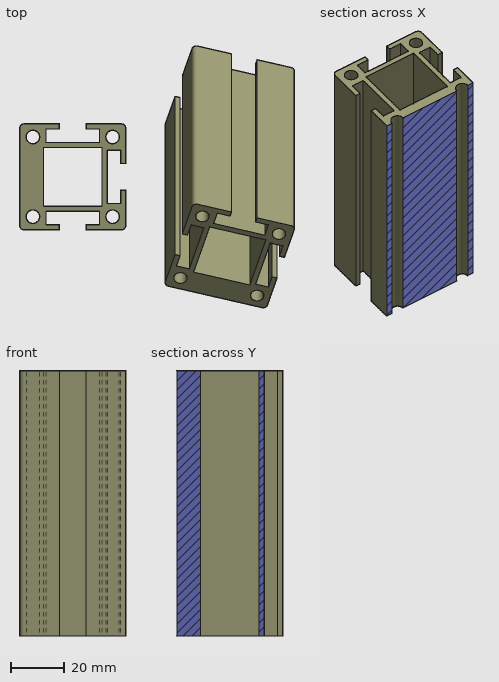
import cadquery as cq

side = 40.0
length = 100.0
corner_radius = 1.7

slot_mouth = 10.0
slot_width = 20.0
lip_thickness = 2.0
slot_depth = 7.0

web_thickness = 2.0
core_width = side - 2 * (slot_depth + web_thickness)
hole_diameter = 5.0
hole_spacing = 30.0

slot_angles = (-90, 0, 90)


def block(x_min, x_max, width):
    """Full-length block between two X positions, centred on Y."""
    return (
        cq.Workplane("XY")
        .center((x_min + x_max) / 2, 0)
        .rect(x_max - x_min, width)
        .extrude(length)
    )


def t_slot():
    """Cutter for the slot in the +X face: narrow mouth, wide chamber."""
    face = side / 2
    mouth = block(face - slot_depth, face, slot_mouth)
    chamber = block(face - slot_depth, face - lip_thickness, slot_width)
    return mouth.union(chamber)


body = cq.Workplane("XY").rect(side, side).extrude(length)
body = body.edges("|Z").fillet(corner_radius)

body = body.cut(block(-core_width / 2, core_width / 2, core_width))

for angle in slot_angles:
    body = body.cut(t_slot().rotate((0, 0, 0), (0, 0, 1), angle))

screw_holes = (
    cq.Workplane("XY")
    .rect(hole_spacing, hole_spacing, forConstruction=True)
    .vertices()
    .circle(hole_diameter / 2)
    .extrude(length)
)
result = body.cut(screw_holes)